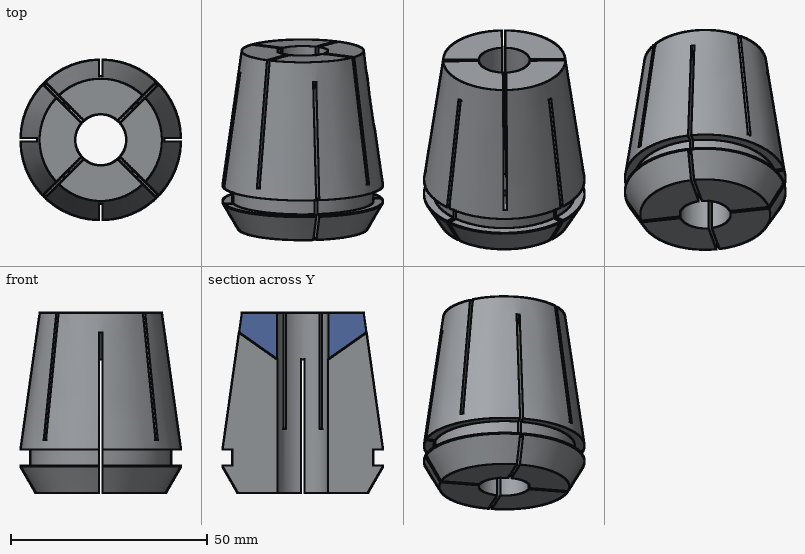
import cadquery as cq
import math

height = 46.0
outer_diameter = 41.0
outer_radius = outer_diameter / 2
bore_radius = 6.5
groove_radius = 18.05
nose_lip_bottom = 6.75
nose_lip_top = 7.05
groove_top = 11.1
nose_half_angle = 30.0
body_half_angle = 8.0
body_taper = math.tan(math.radians(body_half_angle))

slot_width = 0.85
slot_reach = outer_radius + 0.9
slots_per_end = 4
slot_pitch = 360.0 / slots_per_end

ceiling_height = 40.95
ceiling_radius = outer_radius - (ceiling_height - groove_top) * body_taper
ceiling_bore_height = 34.05

floor_height = 13.5
dip_outer_radius = 13.3
dip_outer_height = 13.85
dip_bottom_radius = 10.45
dip_bottom_height = 11.8
dip_inner_radius = 11.35
dip_inner_height = 14.25
floor_bore_height = 16.4


def collet_body():
    """Nose cone, groove and long tapered body with a straight bore."""
    nose_radius = outer_radius - nose_lip_bottom * math.tan(math.radians(nose_half_angle))
    top_radius = outer_radius - (height - groove_top) * body_taper
    profile = [
        (bore_radius, 0),
        (nose_radius, 0),
        (outer_radius, nose_lip_bottom),
        (outer_radius, nose_lip_top),
        (groove_radius, nose_lip_top),
        (groove_radius, groove_top),
        (outer_radius, groove_top),
        (top_radius, height),
        (bore_radius, height),
    ]
    return cq.Workplane("XZ").polyline(profile).close().revolve(360, (0, 0, 0), (0, 1, 0))


def slot_cutter(radial_profile, angle):
    """Thin radial plate with the given (radius, height) outline, turned to an angle about Z."""
    plate = cq.Workplane("XZ").polyline(radial_profile).close().extrude(slot_width / 2, both=True)
    return plate.rotate((0, 0, 0), (0, 0, 1), angle)


nose_slot = [
    (0, 0),
    (slot_reach, 0),
    (slot_reach, ceiling_height),
    (ceiling_radius, ceiling_height),
    (bore_radius, ceiling_bore_height),
    (0, ceiling_bore_height),
]
top_slot = [
    (0, height),
    (slot_reach, height),
    (slot_reach, floor_height),
    (outer_radius, floor_height),
    (dip_outer_radius, dip_outer_height),
    (dip_bottom_radius, dip_bottom_height),
    (dip_inner_radius, dip_inner_height),
    (bore_radius, floor_bore_height),
    (0, floor_bore_height),
]

result = collet_body()
for index in range(slots_per_end):
    nose_slot_angle = index * slot_pitch
    result = result.cut(slot_cutter(nose_slot, nose_slot_angle))
    result = result.cut(slot_cutter(top_slot, nose_slot_angle + slot_pitch / 2))